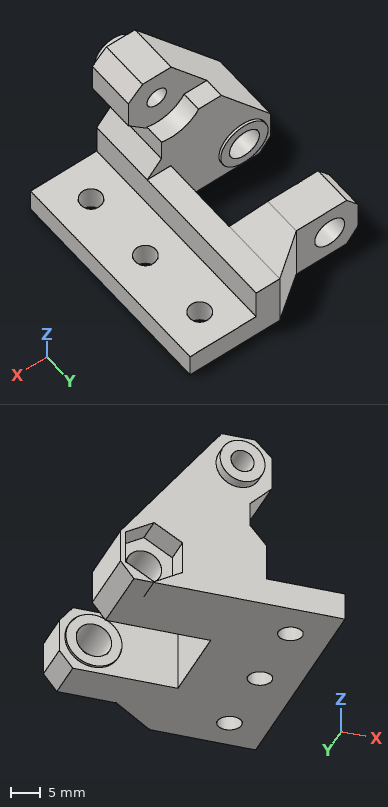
import cadquery as cq
import math

length = 40.0
height = 32.0
pin_length = 2.0
depth = 46.0 - pin_length
base_thickness = 5.0

pivot_x = 6.0
pivot_z = 6.0
pivot_bore = 6.3
boss_diameter = 10.0
boss_length = 0.5
nut_flats = 10.1
nut_depth = 5.0

plate_thickness = 14.0
nose_low = 3.0
nose_high = 9.0
nose_chamfer = 2.4
plate_top_left = 18.0
plate_right = 27.0
head_chamfer = 3.0
head_low = 23.0
neck_x = 23.1
neck_bottom = 15.0
web_right = 26.1
web_height = 11.5

step_y = 10.0
step_z = 22.4

pin_x = 21.0
pin_z = 26.05
pin_diameter = 8.0
pin_bore = 4.1

clearance_radius = 6.8
neck_top = pin_z - clearance_radius

arm_front = 30.1
arm_back = 38.0
arm_height = 12.0
arm_bend_x = 13.0
bar_left = 21.1

mount_x = 33.0
mount_diameter = 4.3
mount_first_y = 7.5
mount_pitch = 15.0
mount_count = 3


def extrude_y(points, start, end):
    """Solid with an XZ outline between two Y positions."""
    plane = cq.Workplane("XZ", origin=(0, start, 0))
    return plane.polyline(points).close().extrude(start - end)


def cylinder_y(x, z, diameter, start, end):
    """Round bar along Y between two Y positions."""
    plane = cq.Workplane("XZ", origin=(x, start, z))
    return plane.circle(diameter / 2).extrude(start - end)


def make_base():
    base = cq.Workplane("XY").box(
        length - bar_left, depth, base_thickness, centered=False
    ).translate((bar_left, 0, 0))
    bar = cq.Workplane("XY").box(
        web_right - bar_left, depth, web_height, centered=False
    ).translate((bar_left, 0, 0))
    return base.union(bar)


def make_plate():
    outline = [
        (nose_chamfer, 0),
        (web_right, 0),
        (web_right, web_height),
        (neck_x, neck_bottom),
        (neck_x, neck_top),
        (plate_right, head_low),
        (plate_right, height - head_chamfer),
        (plate_right - head_chamfer, height),
        (plate_top_left, height),
        (0, nose_high),
        (0, nose_low),
    ]
    plate = extrude_y(outline, 0, plate_thickness)
    relief = cq.Workplane("XY").box(
        length, plate_thickness - step_y, height, centered=False
    ).translate((0, step_y, step_z))
    clearance = cylinder_y(pin_x, pin_z, 2 * clearance_radius, step_y, plate_thickness)
    overhang = cq.Workplane("XY").box(
        length, plate_thickness - step_y, height, centered=False
    ).translate((neck_x, step_y, neck_top))
    return plate.cut(relief).cut(clearance).cut(overhang)


def make_arm():
    outline = [
        (nose_chamfer, 0),
        (bar_left, 0),
        (bar_left, web_height),
        (arm_bend_x, arm_height),
        (nose_chamfer, arm_height),
        (0, nose_high),
        (0, nose_low),
    ]
    plan = [
        (0, arm_front),
        (bar_left, arm_front),
        (bar_left, depth),
        (arm_bend_x, arm_back),
        (0, arm_back),
    ]
    footprint = cq.Workplane("XY").polyline(plan).close().extrude(height)
    return extrude_y(outline, arm_front, depth).intersect(footprint)


def make_nut_pocket():
    across_corners = nut_flats / math.cos(math.pi / 6)
    return (
        cq.Workplane("XZ", origin=(pivot_x, 0, pivot_z))
        .transformed(rotate=(0, 0, 30))
        .polygon(6, across_corners)
        .extrude(-nut_depth)
    )


body = make_base().union(make_plate()).union(make_arm())

body = body.union(
    cylinder_y(pivot_x, pivot_z, boss_diameter, plate_thickness, plate_thickness + boss_length)
)
body = body.union(cylinder_y(pivot_x, pivot_z, boss_diameter, arm_front - boss_length, arm_front))
body = body.union(cylinder_y(pin_x, pin_z, pin_diameter, -pin_length, 0))

body = body.cut(cylinder_y(pivot_x, pivot_z, pivot_bore, 0, depth))
body = body.cut(cylinder_y(pin_x, pin_z, pin_bore, -pin_length, plate_thickness))
body = body.cut(make_nut_pocket())

for index in range(mount_count):
    mount_hole = (
        cq.Workplane("XY")
        .center(mount_x, mount_first_y + index * mount_pitch)
        .circle(mount_diameter / 2)
        .extrude(base_thickness)
    )
    body = body.cut(mount_hole)

result = body